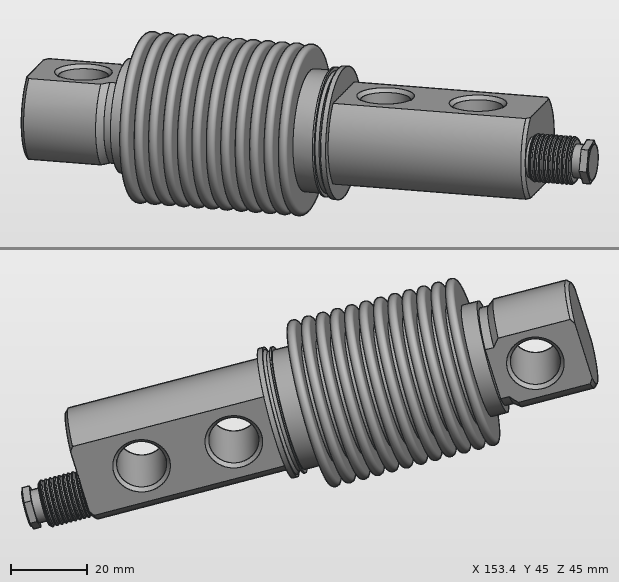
import cadquery as cq
import math


total_length = 153.4

free_end_radius = 14.5
free_end_chamfer = 0.9
neck_radius = 13.2
neck_taper_start = 20.4
neck_taper_end = 22.2
collar_start = 24.5

collar_radius = 15.0
collar_end = 28.8
tube_radius = 16.1

fin_count = 12
fin_radius = 45.0 / 2
fin_width = 2.5
fin_rounding = 1.15
first_fin_center = 30.0
last_fin_center = 73.0

ring_radius = 17.0
ring_start = 79.8
ring_width = 0.5
flange_radius = 17.5
flange_start = 82.0
flange_end = 83.5
flange_taper_start = 81.3
flange_taper_radius = 16.9

clamp_radius = 15.0
clamp_chamfer = 0.9
beam_length = 136.5

flat_thickness = 22.0
hole_diameter = 13.0
countersink_diameter = 15.0
hole_positions = [13.0, 94.8, 119.8]

gland_y = -8.5
stem_radius = 5.4
grip_start = 137.5
grip_end = 148.6
grip_radius = 6.3
grip_chamfer = 0.3
ridge_count = 9
ridge_pitch = 1.2
ridge_height = 0.3
ridge_crest_width = 0.2
ridge_root_gap = 0.5
first_ridge_center = 138.0
sleeve_radius = 4.5
nut_start = 151.1
nut_across_flats = 10.0
nut_turn = 11.0
nut_boss_radius = 4.8
nut_boss_height = 0.3


def revolve_about_x(points):
    """Turn a closed (x, radius) outline about the X axis."""
    return cq.Workplane("XY").polyline(points).close().revolve(360, (0, 0, 0), (1, 0, 0))


def disc(start, length, radius):
    """Round disc on the beam axis."""
    return cq.Workplane("YZ", origin=(start, 0, 0)).circle(radius).extrude(length)


def beam_core():
    """Turned beam without fins and ring, still round at both ends."""
    return revolve_about_x(
        [
            (0, 0),
            (0, free_end_radius - free_end_chamfer),
            (free_end_chamfer, free_end_radius),
            (neck_taper_start, free_end_radius),
            (neck_taper_end, neck_radius),
            (collar_start, neck_radius),
            (collar_start, collar_radius),
            (collar_end, collar_radius),
            (collar_end, tube_radius),
            (flange_taper_start, tube_radius),
            (flange_start, flange_taper_radius),
            (flange_start, flange_radius),
            (flange_end, flange_radius),
            (flange_end, clamp_radius),
            (beam_length - clamp_chamfer, clamp_radius),
            (beam_length, clamp_radius - clamp_chamfer),
            (beam_length, 0),
        ]
    )


def fin(center):
    """Bellows fin with both rim edges rounded."""
    plate = disc(center - fin_width / 2, fin_width, fin_radius)
    return plate.edges().fillet(fin_rounding)


def flat_cutters(start, end):
    """Two blocks that flatten the beam to flat_thickness between start and end."""
    height = clamp_radius
    cutters = cq.Workplane("XY")
    for side in (-1, 1):
        z_center = side * (flat_thickness + height) / 2
        block = cq.Workplane("XY").box(end - start, 2 * flange_radius, height)
        cutters = cutters.add(block.translate(((start + end) / 2, 0, z_center)))
    return cutters.combine()


def bolt_hole(x):
    """Through hole along Z, countersunk on both flats."""
    half = flat_thickness / 2
    radius = hole_diameter / 2
    rim = countersink_diameter / 2
    depth = rim - radius
    return (
        cq.Workplane("XZ")
        .polyline(
            [
                (0, -half),
                (rim, -half),
                (radius, depth - half),
                (radius, half - depth),
                (rim, half),
                (0, half),
            ]
        )
        .close()
        .revolve(360, (0, 0, 0), (0, 1, 0))
        .translate((x, 0, 0))
    )


def make_beam():
    beam = beam_core()
    fin_pitch = (last_fin_center - first_fin_center) / (fin_count - 1)
    for index in range(fin_count):
        beam = beam.union(fin(first_fin_center + index * fin_pitch))
    beam = beam.union(disc(ring_start, ring_width, ring_radius))
    beam = beam.cut(flat_cutters(0, collar_start))
    beam = beam.cut(flat_cutters(flange_end, beam_length))
    for x in hole_positions:
        beam = beam.cut(bolt_hole(x))
    return beam


def ridged_grip():
    """Grip with ring-shaped trapezoidal ridges and a chamfered outer end."""
    root_radius = grip_radius - ridge_height
    half_crest = ridge_crest_width / 2
    half_base = (ridge_pitch - ridge_root_gap) / 2
    points = [(grip_start, 0), (grip_start, root_radius)]
    for index in range(ridge_count):
        center = first_ridge_center + index * ridge_pitch
        points += [
            (center - half_base, root_radius),
            (center - half_crest, grip_radius),
            (center + half_crest, grip_radius),
            (center + half_base, root_radius),
        ]
    points += [
        (grip_end - grip_chamfer, root_radius),
        (grip_end, root_radius - grip_chamfer),
        (grip_end, 0),
    ]
    return revolve_about_x(points)


def hex_nut():
    """Hexagon with a low round boss on its outer face."""
    nut_end = total_length - nut_boss_height
    circumscribed_diameter = nut_across_flats / math.cos(math.pi / 6)
    hexagon = (
        cq.Workplane("YZ", origin=(nut_start, 0, 0))
        .polygon(6, circumscribed_diameter)
        .extrude(nut_end - nut_start)
        .rotate((0, 0, 0), (1, 0, 0), nut_turn)
    )
    return hexagon.union(disc(nut_end, nut_boss_height, nut_boss_radius))


def make_gland():
    gland = disc(beam_length, grip_start - beam_length, stem_radius)
    gland = gland.union(ridged_grip())
    gland = gland.union(disc(grip_end, nut_start - grip_end, sleeve_radius))
    gland = gland.union(hex_nut())
    return gland.translate((0, gland_y, 0))


beam = make_beam()
cable_gland = make_gland()

result = cq.Compound.makeCompound([beam.val(), cable_gland.val()])